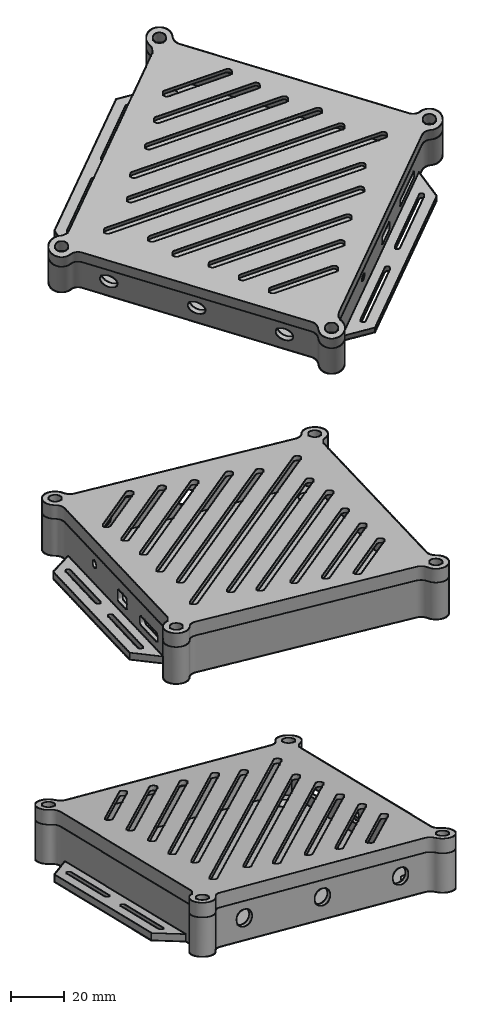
import cadquery as cq

OVERALL_X = 127
BODY_X = 107.0
BODY_Y = 103.0
HEIGHT = 22.0
LID_HEIGHT = 6.0
BASE_HEIGHT = HEIGHT - LID_HEIGHT
WALL = 2.0
FLOOR = WALL
LID_TOP = WALL

BOSS_RADIUS = 5.0
BOSS_FILLET = 4.0
SCREW_DIAMETER = 5.0
CAVITY_CHAMFER = 3.2

TAB_WIDTH = (OVERALL_X - BODY_X) / 2
TAB_THICKNESS = 3.0
TAB_ROOT_LENGTH = 81.0
TAB_TIP_LENGTH = 65.0
STRAP_SLOT_WIDTH = 2.0
STRAP_SLOT_LENGTH = 27.5
STRAP_SLOT_X = 58.2
STRAP_SLOT_Y = 18.0

FRONT_PORT_DIAMETER = 7.0
FRONT_PORT_PITCH = 34.8
FRONT_PORT_Z = 9.1

CONNECTORS = [(28.1, 8.3, 15.0, 4.0), (5.6, 8.9, 8.0, 5.1)]
CONNECTOR_CORNER = 1.0
SIDE_HOLE_DIAMETER = 3.0
SIDE_HOLE_Y = -18.2
SIDE_HOLE_Z = 11.4

SINK_DIAMETER = 7.0
SINK_HOLE_DIAMETER = 3.0
SINK_X = 45.7
SINK_Y = 41.4

VENT_WIDTH = 3.0
VENT_ANGLE = 44
VENT_PITCH = 9.9
VENT_SPANS = [
    (-55.6, 55.6),
    (-42.0, 42.7),
    (-36.5, 37.9),
    (-26.2, 28.5),
    (-18.3, 21.3),
    (-10.4, 14.4),
]

BOSS_CENTRES = [(sx * BODY_X / 2, sy * BODY_Y / 2) for sx in (-1, 1) for sy in (-1, 1)]


def case_block(bottom, height):
    """Rectangular block with a filleted round boss on each corner and a screw hole through it."""
    base = cq.Workplane("XY").workplane(offset=bottom)
    block = base.rect(BODY_X, BODY_Y).extrude(height)
    bosses = base.pushPoints(BOSS_CENTRES).circle(BOSS_RADIUS).extrude(height)
    block = block.union(bosses)
    reach_x = BODY_X / 2 - BOSS_RADIUS
    reach_y = BODY_Y / 2 - BOSS_RADIUS
    inner_corners = []
    for sx in (-1, 1):
        for sy in (-1, 1):
            inner_corners.append((sx * reach_x, sy * BODY_Y / 2))
            inner_corners.append((sx * BODY_X / 2, sy * reach_y))
    for x, y in inner_corners:
        corner = cq.selectors.NearestToPointSelector((x, y, bottom + height / 2))
        block = block.edges("|Z").edges(corner).fillet(BOSS_FILLET)
    holes = base.pushPoints(BOSS_CENTRES).circle(SCREW_DIAMETER / 2).extrude(height)
    return block.cut(holes)


def cavity(bottom, height):
    """Inner space between the walls, with its corners cut off beside the bosses."""
    inside = cq.Workplane("XY").workplane(offset=bottom)
    inside = inside.rect(BODY_X - 2 * WALL, BODY_Y - 2 * WALL).extrude(height)
    return inside.edges("|Z").chamfer(CAVITY_CHAMFER)


def strap_tab(side):
    """Tapered tab with two strap slots; side is -1 or 1 along X."""
    root_x = side * BODY_X / 2
    tip_x = side * (BODY_X / 2 + TAB_WIDTH)
    outline = [
        (root_x, -TAB_ROOT_LENGTH / 2),
        (tip_x, -TAB_TIP_LENGTH / 2),
        (tip_x, TAB_TIP_LENGTH / 2),
        (root_x, TAB_ROOT_LENGTH / 2),
    ]
    tab = cq.Workplane("XY").polyline(outline).close().extrude(TAB_THICKNESS)
    slots = (
        cq.Workplane("XY")
        .pushPoints([(side * STRAP_SLOT_X, y) for y in (-STRAP_SLOT_Y, STRAP_SLOT_Y)])
        .slot2D(STRAP_SLOT_LENGTH, STRAP_SLOT_WIDTH, 90)
        .extrude(TAB_THICKNESS)
    )
    return tab.cut(slots)


def front_ports():
    """Row of round holes through the front wall."""
    return (
        cq.Workplane("XZ", origin=(0, -BODY_Y / 2 + WALL, 0))
        .pushPoints([(i * FRONT_PORT_PITCH, FRONT_PORT_Z) for i in (-1, 0, 1)])
        .circle(FRONT_PORT_DIAMETER / 2)
        .extrude(WALL)
    )


def side_openings():
    """Connector openings and a round hole through the +X wall."""
    wall = cq.Workplane("YZ", origin=(BODY_X / 2 - WALL, 0, 0))
    openings = wall.center(SIDE_HOLE_Y, SIDE_HOLE_Z).circle(SIDE_HOLE_DIAMETER / 2).extrude(WALL)
    for y, z, width, height in CONNECTORS:
        opening = wall.center(y, z).rect(width, height).extrude(WALL)
        openings = openings.union(opening.edges("|X").fillet(CONNECTOR_CORNER))
    return openings


def floor_sink(x, y):
    """Cone that narrows from the inner face of the floor to the outer one."""
    outer_radius = SINK_HOLE_DIAMETER / 2
    inner_radius = SINK_DIAMETER / 2
    bottom = cq.Vector(x, y, 0)
    up = cq.Vector(0, 0, 1)
    return cq.Workplane(cq.Solid.makeCone(outer_radius, inner_radius, FLOOR, bottom, up))


def make_base():
    base = case_block(0, BASE_HEIGHT).cut(cavity(FLOOR, BASE_HEIGHT - FLOOR))
    for side in (-1, 1):
        base = base.union(strap_tab(side))
    for x in (-SINK_X, SINK_X):
        for y in (-SINK_Y, SINK_Y):
            base = base.cut(floor_sink(x, y))
    return base.cut(front_ports()).cut(side_openings())


def vent(offset, span):
    """Diagonal slot through the top of the lid, offset sideways from the middle one."""
    start, end = span
    return (
        cq.Workplane("XY", origin=(0, 0, HEIGHT - LID_TOP))
        .transformed(rotate=(0, 0, VENT_ANGLE))
        .center((start + end) / 2, offset)
        .slot2D(end - start + VENT_WIDTH, VENT_WIDTH)
        .extrude(LID_TOP)
    )


def make_lid():
    lid = case_block(BASE_HEIGHT, LID_HEIGHT).cut(cavity(BASE_HEIGHT, LID_HEIGHT - LID_TOP))
    for step, span in enumerate(VENT_SPANS):
        for offset in {step * VENT_PITCH, -step * VENT_PITCH}:
            lid = lid.cut(vent(offset, span))
    return lid


base = make_base()
lid = make_lid()
result = cq.Compound.makeCompound([base.val(), lid.val()])